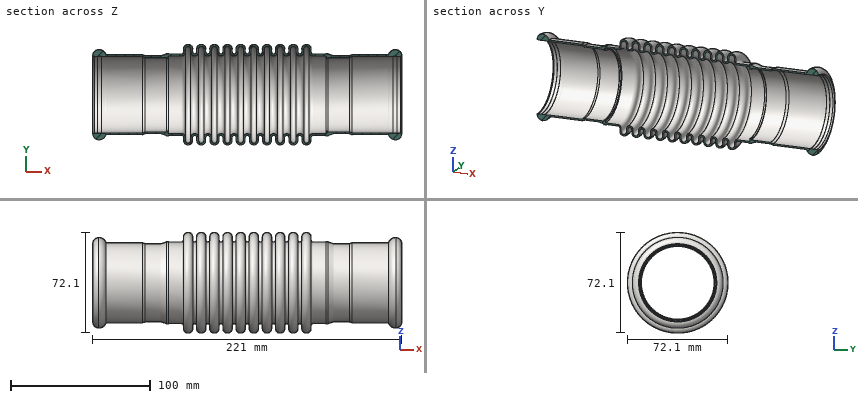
import cadquery as cq
import math

length = 221.0
half_length = length / 2
wall = 1.5

socket_outer_radius = 57.5 / 2
socket_inner_radius = 54.5 / 2
bead_outer_radius = 65.0 / 2
nose_length = 2.9
nose_end_radius = 32.1
bead_top_position = 4.2
bead_end = 9.6
socket_end = 35.5

mouth_radius = 56.0 / 2
mouth_chamfer = 1.15
seal_land_radius = 54.7 / 2
seal_groove_radius = 27.5
seal_groove_start = 3.6
seal_groove_end = 6.2
seal_land_end = 9.2

neck_outer_radius = 56.0 / 2
neck_inner_radius = 53.0 / 2
neck_start = 37.5
neck_end = 48.8

weld_outer_radius = 59.0 / 2
weld_inner_radius = 52.0 / 2
weld_start = 52.8
weld_width = 1.3
tail_outer_radius = 58.5 / 2

convolution_count = 10
pitch = 9.4
bellows_crest_radius = 72.1 / 2
bellows_root_radius = tail_outer_radius
crest_half_width = 3.4
root_half_width = pitch / 2 - crest_half_width

bellows_length = convolution_count * pitch
bellows_start = half_length - bellows_length / 2
weld_end = weld_start + weld_width
tail_inner_radius = tail_outer_radius - wall


def arc_middle(start, end, center):
    """Point of the arc around `center` halfway between `start` and `end`."""
    start_angle = math.atan2(start[1] - center[1], start[0] - center[0])
    end_angle = math.atan2(end[1] - center[1], end[0] - center[0])
    middle_angle = (start_angle + end_angle) / 2
    arc_radius = math.dist(start, center)
    return (
        center[0] + arc_radius * math.cos(middle_angle),
        center[1] + arc_radius * math.sin(middle_angle),
    )


def end_fitting():
    """Socket, neck, weld ring and tail, with the mouth at X = 0."""
    mouth = (0, mouth_radius)
    nose_end = (nose_length, nose_end_radius)
    nose_rise = nose_end_radius - mouth_radius
    nose_arc = (nose_length ** 2 + nose_rise ** 2) / (2 * nose_length)
    nose_middle = arc_middle(mouth, nose_end, (nose_arc, mouth_radius))

    bead_top = (bead_top_position, bead_outer_radius)
    shoulder_end = (bead_end, socket_outer_radius)
    shoulder_run = bead_end - bead_top_position
    shoulder_drop = bead_outer_radius - socket_outer_radius
    shoulder_arc = (shoulder_run ** 2 + shoulder_drop ** 2) / (2 * shoulder_drop)
    shoulder_center = (bead_top_position, bead_outer_radius - shoulder_arc)
    shoulder_middle = arc_middle(bead_top, shoulder_end, shoulder_center)

    profile = (
        cq.Workplane("XY")
        .moveTo(*mouth)
        .threePointArc(nose_middle, nose_end)
        .lineTo(*bead_top)
        .threePointArc(shoulder_middle, shoulder_end)
        .lineTo(socket_end, socket_outer_radius)
        .lineTo(neck_start, neck_outer_radius)
        .lineTo(neck_end, neck_outer_radius)
        .lineTo(weld_start, tail_outer_radius)
        .lineTo(weld_start, weld_outer_radius)
        .lineTo(weld_end, weld_outer_radius)
        .lineTo(weld_end, tail_outer_radius)
        .lineTo(bellows_start, tail_outer_radius)
        .lineTo(bellows_start, tail_inner_radius)
        .lineTo(weld_end, tail_inner_radius)
        .lineTo(weld_end, weld_inner_radius)
        .lineTo(weld_start, weld_inner_radius)
        .lineTo(weld_start, neck_inner_radius)
        .lineTo(neck_start, neck_inner_radius)
        .lineTo(socket_end, socket_inner_radius)
        .lineTo(bead_end, socket_inner_radius)
        .lineTo(seal_land_end, seal_land_radius)
        .lineTo(seal_groove_end, seal_land_radius)
        .lineTo(seal_groove_end, seal_groove_radius)
        .lineTo(seal_groove_start, seal_groove_radius)
        .lineTo(seal_groove_start, seal_land_radius)
        .lineTo(mouth_chamfer, seal_land_radius)
        .close()
    )
    return profile.revolve(360, (0, 0, 0), (1, 0, 0))


def add_convolutions(profile, start_x, root, crest, root_arc, crest_arc):
    """Draw the bellows line from `start_x`: quarter arcs at roots, half arcs at crests."""
    diagonal = math.sqrt(0.5)
    for index in range(convolution_count):
        left = start_x + index * pitch
        right = left + pitch
        rise = left + root_arc
        fall = right - root_arc
        profile = (
            profile
            .threePointArc(
                (left + root_arc * diagonal, root + root_arc * (1 - diagonal)),
                (rise, root + root_arc),
            )
            .lineTo(rise, crest - crest_arc)
            .threePointArc((left + pitch / 2, crest), (fall, crest - crest_arc))
            .lineTo(fall, root + root_arc)
            .threePointArc(
                (right - root_arc * diagonal, root + root_arc * (1 - diagonal)),
                (right, root),
            )
        )
    return profile


def bellows():
    """Corrugated middle: the outer line revolved solid, less the same line offset inward."""
    start_x = -bellows_length / 2

    def corrugated_body(offset):
        root = bellows_root_radius - offset
        profile = cq.Workplane("XY").moveTo(start_x, 0).lineTo(start_x, root)
        profile = add_convolutions(
            profile, start_x, root, bellows_crest_radius - offset,
            root_half_width + offset, crest_half_width - offset,
        )
        return profile.lineTo(-start_x, 0).close().revolve(360, (0, 0, 0), (1, 0, 0))

    return corrugated_body(0).cut(corrugated_body(wall))


left_fitting = end_fitting().translate((-half_length, 0, 0))
right_fitting = left_fitting.mirror("YZ")
result = bellows().union(left_fitting).union(right_fitting)